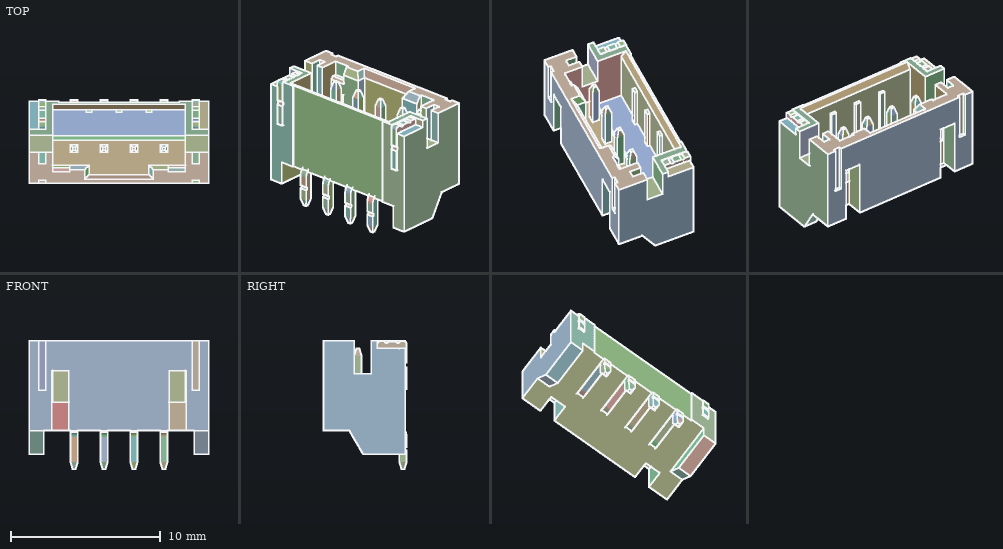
import cadquery as cq


LENGTH = 12.0
DEPTH = 5.5
HEIGHT = 6.0
BACK_RELIEF = 0.07
BACK_RELIEF_END_WIDTH = 1.98

FOOT_WIDTH = 0.98
FOOT_DROP = 1.6
FOOT_SOLE_DEPTH = 2.83
FOOT_TOP_DEPTH = 3.77

END_WALL = 1.57
CAVITY_LENGTH = LENGTH - 2 * END_WALL
CAVITY_BACK = 0.56
CAVITY_FRONT = 4.27
BAY_FRONT = 4.91
BAY_LENGTH = 3.98
MOUTH_CHAMFER_OUT = 0.3
BACK_CHAMFER_OUT = 0.35
BACK_CHAMFER_DROP = 0.41
MOUTH_CHAMFER_DROP = 0.5
FRONT_FLOOR_Z = 1.9
BACK_FLOOR_Z = 1.3
FLOOR_STEP_BACK = 2.32
FLOOR_STEP_FRONT = 2.62

RIB_WIDTH = 0.37
RIB_DEPTH = 0.19
RIB_TOP_GAP = 1.19

WINDOW_OUTER = 1.5
WINDOW_INNER = 2.65
WINDOW_TOP_GAP = 2.0
POCKET_INNER = 2.7
POCKET_FRONT = 4.72
POCKET_DEPTH = 1.0
POCKET_CHAMFER = 0.18

GAP_BACK = 2.29
GAP_FRONT = 3.41
GAP_DEPTH = 2.2
KEY_SLOT_FRONT = 4.19
GROOVE_DEPTH = 0.19
SLOT_HEIGHT = 3.32

TAB_OUTER = 0.64
TAB_WIDTH = 0.45
TAB_CENTRE_X = LENGTH / 2 - TAB_OUTER - TAB_WIDTH / 2
PROUD = 0.08
TAB_TOP_GAP = 0.04
TAB_SEAT_DEPTH = 0.5
TAB_REACH = 1.87
TAB_DROP = 3.23
TAB_CORNER_RADIUS = 0.19
TAB_NOTCH_RADIUS = 0.12
TAB_NOTCH_DEPTHS = (0.5, 1.27)
TAB_RELIEF = 0.04
TAB_BACK_NOTCH_RADIUS = 0.15
TAB_BACK_NOTCH_DROP = 1.62

PIN_COUNT = 4
PITCH = LENGTH / 6
PIN_SIZE = 0.5
PIN_TIP_SIZE = 0.2
PIN_TIP_LENGTH = 0.5
PIN_BEND_RADIUS = 0.56
PIN_MATING_Y = -3.18
PIN_TAIL_Y = PROUD - PIN_SIZE / 2
PIN_RUN_Z = 0.15
PIN_TOP_Z = 5.5
PIN_BOTTOM_Z = -2.6
PIN_NOTCH_RADIUS = 0.11
PIN_NOTCH_Z = -1.21


def block(x_range, y_range, z_range):
    """Box between pairs of coordinates, given in any order."""
    ranges = [sorted(x_range), sorted(y_range), sorted(z_range)]
    sizes = [high - low for low, high in ranges]
    corner = [low for low, high in ranges]
    return cq.Workplane("XY").box(*sizes, centered=False).translate(tuple(corner))


def bar(points, x_centre, width):
    """Prism along X from a closed (Y, Z) outline."""
    outline = cq.Workplane("YZ").polyline(points).close()
    return outline.extrude(width).translate((x_centre - width / 2, 0, 0))


def x_rod(y, z, radius, width):
    """Cylinder along X, centred on X = 0."""
    return cq.Workplane("YZ", origin=(-width / 2, y, z)).circle(radius).extrude(width)


def both_ends(shape):
    """The shape together with its mirror image at the other end."""
    return shape.add(shape.mirror("YZ").vals()).combine()


def mouth(length, y_back, y_front):
    """Lead-in around the top of an opening, widening to both ends and to the front."""
    y_mid = (y_back + y_front) / 2
    top_front = y_front - MOUTH_CHAMFER_OUT
    return (
        cq.Workplane("XY", origin=(0, y_mid, HEIGHT - MOUTH_CHAMFER_DROP))
        .rect(length, y_back - y_front)
        .workplane(offset=MOUTH_CHAMFER_DROP)
        .center(0, (y_back + top_front) / 2 - y_mid)
        .rect(length + 2 * MOUTH_CHAMFER_OUT, y_back - top_front)
        .loft(combine=True, ruled=True)
    )


def make_cavity():
    profile = [
        (-CAVITY_BACK, BACK_FLOOR_Z),
        (-FLOOR_STEP_BACK, BACK_FLOOR_Z),
        (-FLOOR_STEP_FRONT, FRONT_FLOOR_Z),
        (-CAVITY_FRONT, FRONT_FLOOR_Z),
        (-CAVITY_FRONT, HEIGHT - MOUTH_CHAMFER_DROP),
        (-CAVITY_FRONT - MOUTH_CHAMFER_OUT, HEIGHT),
        (-CAVITY_BACK + BACK_CHAMFER_OUT, HEIGHT),
        (-CAVITY_BACK, HEIGHT - BACK_CHAMFER_DROP),
    ]
    cavity = bar(profile, 0, CAVITY_LENGTH)
    bay_x = (-BAY_LENGTH / 2, BAY_LENGTH / 2)
    bay = block(bay_x, (-CAVITY_FRONT, -BAY_FRONT), (FRONT_FLOOR_Z, HEIGHT))
    cavity = cavity.union(bay).union(mouth(BAY_LENGTH, -FLOOR_STEP_FRONT, -BAY_FRONT))
    for slot in range(PIN_COUNT - 1):
        rib_x = (slot - (PIN_COUNT - 2) / 2) * PITCH
        rib = block(
            (rib_x - RIB_WIDTH / 2, rib_x + RIB_WIDTH / 2),
            (-CAVITY_BACK, -CAVITY_BACK - RIB_DEPTH),
            (BACK_FLOOR_Z, HEIGHT - RIB_TOP_GAP),
        )
        cavity = cavity.cut(rib)
    return cavity


def make_feet():
    outline = [
        (0, 0),
        (0, -FOOT_DROP),
        (-FOOT_SOLE_DEPTH, -FOOT_DROP),
        (-FOOT_TOP_DEPTH, 0),
    ]
    return both_ends(bar(outline, LENGTH / 2 - FOOT_WIDTH / 2, FOOT_WIDTH))


def make_front_openings():
    end = LENGTH / 2
    window = block(
        (end - WINDOW_OUTER, end - WINDOW_INNER),
        (-DEPTH, -CAVITY_FRONT),
        (0, HEIGHT - WINDOW_TOP_GAP),
    )
    pocket_floor = HEIGHT - POCKET_DEPTH
    pocket_outline = [
        (-POCKET_FRONT, HEIGHT),
        (-POCKET_FRONT, pocket_floor),
        (-CAVITY_FRONT - POCKET_CHAMFER, pocket_floor),
        (-CAVITY_FRONT, pocket_floor - POCKET_CHAMFER),
        (-CAVITY_FRONT, HEIGHT),
    ]
    pocket_x = end - (END_WALL + POCKET_INNER) / 2
    pocket = bar(pocket_outline, pocket_x, POCKET_INNER - END_WALL)
    return both_ends(window.union(pocket))


def make_end_openings():
    end = LENGTH / 2
    slot_x = (end - TAB_OUTER, end - TAB_OUTER - TAB_WIDTH)
    gap_z = (HEIGHT - GAP_DEPTH, HEIGHT)
    gap = block((end, end - END_WALL), (-GAP_BACK, -GAP_FRONT), gap_z)
    slot_z = (HEIGHT - SLOT_HEIGHT, HEIGHT)
    key_slot = block(slot_x, (-GAP_FRONT, -KEY_SLOT_FRONT), slot_z)
    groove = block(slot_x, (-DEPTH, -DEPTH + GROOVE_DEPTH), slot_z)
    ledge = block((end, slot_x[1]), (0, -TAB_REACH), (HEIGHT - TAB_SEAT_DEPTH, HEIGHT))
    return both_ends(gap.union(key_slot).union(groove).union(ledge))


def make_housing():
    half = LENGTH / 2
    body = block((-half, half), (-DEPTH, 0), (0, HEIGHT))
    relief_half = half - BACK_RELIEF_END_WIDTH
    relief = block((-relief_half, relief_half), (-BACK_RELIEF, 0), (0, HEIGHT))
    return (
        body.union(make_feet())
        .cut(relief)
        .cut(make_cavity())
        .cut(make_front_openings())
        .cut(make_end_openings())
    )


def make_tab_blank():
    """L-shaped strip centred on X = 0, before its corners and notches are formed."""
    top = HEIGHT - TAB_TOP_GAP
    outline = [
        (PROUD, top),
        (-TAB_REACH, top),
        (-TAB_REACH, HEIGHT - TAB_SEAT_DEPTH),
        (PROUD - TAB_SEAT_DEPTH, HEIGHT - TAB_SEAT_DEPTH),
        (PROUD - TAB_SEAT_DEPTH, HEIGHT - TAB_DROP),
        (PROUD, HEIGHT - TAB_DROP),
    ]
    return bar(outline, 0, TAB_WIDTH)


def make_tab():
    top = HEIGHT - TAB_TOP_GAP
    tab = make_tab_blank().faces(">Z").edges("|X").fillet(TAB_CORNER_RADIUS)
    relief_y = [-depth for depth in TAB_NOTCH_DEPTHS]
    tab = tab.cut(block((-TAB_WIDTH / 2, TAB_WIDTH / 2), relief_y, (top - TAB_RELIEF, top)))
    for y in relief_y:
        tab = tab.cut(x_rod(y, top, TAB_NOTCH_RADIUS, TAB_WIDTH))
    back_notch_z = HEIGHT - TAB_BACK_NOTCH_DROP
    return tab.cut(x_rod(PROUD, back_notch_z, TAB_BACK_NOTCH_RADIUS, TAB_WIDTH))


def make_pin_tip(y, z_base, z_end):
    """Square point tapering from the full pin section at z_base."""
    return (
        cq.Workplane("XY", origin=(0, y, z_base))
        .rect(PIN_SIZE, PIN_SIZE)
        .workplane(offset=z_end - z_base)
        .rect(PIN_TIP_SIZE, PIN_TIP_SIZE)
        .loft(combine=True)
    )


def make_pin_blank():
    """Square wire with two bends and pointed ends, centred on X = 0."""
    shank_top = PIN_TOP_Z - PIN_TIP_LENGTH
    tail_bottom = PIN_BOTTOM_Z + PIN_TIP_LENGTH
    r = PIN_BEND_RADIUS
    path = (
        cq.Workplane("YZ")
        .moveTo(PIN_MATING_Y, shank_top)
        .lineTo(PIN_MATING_Y, PIN_RUN_Z + r)
        .tangentArcPoint((PIN_MATING_Y + r, PIN_RUN_Z), relative=False)
        .lineTo(PIN_TAIL_Y - r, PIN_RUN_Z)
        .tangentArcPoint((PIN_TAIL_Y, PIN_RUN_Z - r), relative=False)
        .lineTo(PIN_TAIL_Y, tail_bottom)
    )
    section = cq.Workplane("XY", origin=(0, PIN_MATING_Y, shank_top)).rect(PIN_SIZE, PIN_SIZE)
    wire = section.sweep(path)
    mating_tip = make_pin_tip(PIN_MATING_Y, shank_top, PIN_TOP_Z)
    tail_tip = make_pin_tip(PIN_TAIL_Y, tail_bottom, PIN_BOTTOM_Z)
    return wire.union(mating_tip).union(tail_tip)


def make_pin(pin_blank):
    return pin_blank.cut(x_rod(PROUD, PIN_NOTCH_Z, PIN_NOTCH_RADIUS, PIN_SIZE))


housing = make_housing()
pin_blank = make_pin_blank()
tab_blank = make_tab_blank()

pins = []
for index in range(PIN_COUNT):
    place = ((index - (PIN_COUNT - 1) / 2) * PITCH, 0, 0)
    pins.append(make_pin(pin_blank).translate(place))
    housing = housing.cut(pin_blank.translate(place))

tabs = []
for side in (-1, 1):
    place = (side * TAB_CENTRE_X, 0, 0)
    tabs.append(make_tab().translate(place))
    housing = housing.cut(tab_blank.translate(place))

result = cq.Compound.makeCompound(
    [housing.val()] + [pin.val() for pin in pins] + [tab.val() for tab in tabs]
)